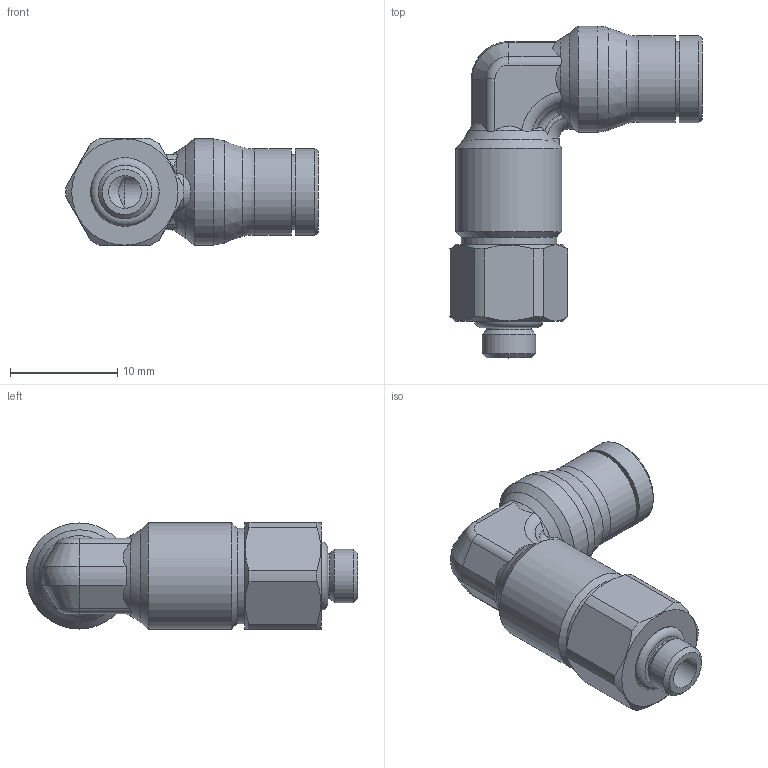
import cadquery as cq
import math


stem_length = 25.97
body_radius = 4.94
body_end = 14.22
body_chamfer = 0.5
waist_radius = 4.45
hex_start = 15.42
hex_end = 22.55
hex_flats = 10.0
hex_corner_radius = 5.5
hex_face_radius = 4.95
hex_chamfer = 0.4
flange_radius = 3.2
flange_end = 23.15
flange_rim_end = 22.6
flange_rounding = 0.7
thread_radius = 2.5
thread_chamfer = 0.4
relief_width = 0.2

throat_start = 4.05
throat_start_radius = 3.34
throat_middle = 4.45
throat_middle_radius = 3.54
throat_end = 4.83
throat_end_radius = 3.75
cone_start = 5.68
cone_start_radius = 4.3
cone_end = 6.44

socket_length = 18.0
bulge_end = 8.25
taper_inflection = 9.3
taper_straight_end = 11.0
taper_end = 12.1
sleeve_radius = 4.05
groove_start = 15.5
groove_width = 0.35
groove_depth = 0.55
socket_end_chamfer = 0.3
taper_start_radius = 4.75
taper_finish_radius = 4.15

elbow_half_height = 3.5
side_half_height = 0.9
outer_flat_offset = 1.3
inner_flat_offset = 1.12
slope_top_offset = 2.1
slope_top_height = 3.02
inner_bend_center = 5.5

slope_foot_offset = 2.5
slope_foot_height = 2.46
web_top_start = 3.25
web_top_end = 3.6
web_half_height = 1.7
web_edge = 4.69
web_end = 6.3
web_valley_radius = 1.1

bore_radius = 1.53
drill_half_angle = math.radians(59)


def along_stem(profile):
    """Revolve a (radius, distance) profile and point it along -Y."""
    return profile.close().revolve(360, (0, 0, 0), (0, 1, 0)).mirror("XZ")


def along_socket(profile):
    """Revolve a (radius, distance) profile and point it along +X."""
    upright = profile.close().revolve(360, (0, 0, 0), (0, 1, 0))
    return upright.rotate((0, 0, 0), (0, 0, 1), -90)


def collar_profile():
    """Start a half profile on the axis and carry it over the flare and cone to full radius."""
    return (
        cq.Workplane("XY")
        .moveTo(0, throat_start)
        .lineTo(throat_start_radius, throat_start)
        .threePointArc((throat_middle_radius, throat_middle), (throat_end_radius, throat_end))
        .lineTo(cone_start_radius, cone_start)
        .lineTo(body_radius, cone_end)
    )


def make_stem():
    """Collar, body and waist, carried a little way into the hexagon."""
    return along_stem(
        collar_profile()
        .lineTo(body_radius, body_end)
        .lineTo(waist_radius, body_end + body_chamfer)
        .lineTo(waist_radius, hex_start + hex_chamfer)
        .lineTo(0, hex_start + hex_chamfer)
    )


def make_hex_nut():
    """Hexagon with flats on +-Z, its corners trimmed by a chamfered cylinder."""
    length = hex_end - hex_start
    corner_to_corner = hex_flats / math.cos(math.pi / 6)
    hexagon = (
        cq.Workplane("XZ", origin=(0, -hex_start, 0))
        .polygon(6, corner_to_corner)
        .extrude(length)
    )
    trimmer = along_stem(
        cq.Workplane("XY")
        .moveTo(0, hex_start)
        .lineTo(hex_face_radius, hex_start)
        .lineTo(hex_corner_radius, hex_start + hex_chamfer)
        .lineTo(hex_corner_radius, hex_end - hex_chamfer)
        .lineTo(hex_face_radius, hex_end)
        .lineTo(0, hex_end)
    )
    return hexagon.intersect(trimmer)


def make_threaded_end():
    """Rounded flange, thread relief and plain thread cylinder, rooted in the hexagon."""
    relief_radius = thread_radius - thread_chamfer
    thread_start = flange_end + relief_width
    return along_stem(
        cq.Workplane("XY")
        .moveTo(0, hex_end - hex_chamfer)
        .lineTo(flange_radius, hex_end - hex_chamfer)
        .lineTo(flange_radius, flange_rim_end)
        .radiusArc((thread_radius, flange_end), -flange_rounding)
        .lineTo(relief_radius, flange_end)
        .lineTo(relief_radius, thread_start)
        .lineTo(thread_radius, thread_start + thread_chamfer)
        .lineTo(thread_radius, stem_length - thread_chamfer)
        .lineTo(relief_radius, stem_length)
        .lineTo(0, stem_length)
    )


def make_socket():
    """Collar, bulge, S-shaped taper and a sleeve with a narrow groove near its end."""
    groove_floor = sleeve_radius - groove_depth
    return along_socket(
        collar_profile()
        .lineTo(body_radius, bulge_end)
        .tangentArcPoint((taper_start_radius, taper_inflection), relative=False)
        .lineTo(taper_finish_radius, taper_straight_end)
        .tangentArcPoint((sleeve_radius, taper_end), relative=False)
        .lineTo(sleeve_radius, groove_start)
        .lineTo(groove_floor, groove_start)
        .lineTo(groove_floor, groove_start + groove_width)
        .lineTo(sleeve_radius, groove_start + groove_width)
        .lineTo(sleeve_radius, socket_length - socket_end_chamfer)
        .lineTo(sleeve_radius - socket_end_chamfer, socket_length)
        .lineTo(0, socket_length)
    )


def edge_radius(flat_offset):
    """Radius of the edge rounding that leaves the flat tangentially and ends at the slope."""
    run = slope_top_offset - flat_offset
    drop = elbow_half_height - slope_top_height
    return (run**2 + drop**2) / (2 * drop)


def outer_section(plane):
    """Outer half of the elbow section; local x points away from the inside corner."""
    edge_rounding = edge_radius(outer_flat_offset)
    side_edge_offset = math.sqrt(elbow_half_height**2 - side_half_height**2)
    return (
        plane.moveTo(0, elbow_half_height)
        .lineTo(outer_flat_offset, elbow_half_height)
        .radiusArc((slope_top_offset, slope_top_height), edge_rounding)
        .lineTo(side_edge_offset, side_half_height)
        .threePointArc((elbow_half_height, 0), (side_edge_offset, -side_half_height))
        .lineTo(slope_top_offset, -slope_top_height)
        .radiusArc((outer_flat_offset, -elbow_half_height), edge_rounding)
        .lineTo(0, -elbow_half_height)
        .close()
    )


def inner_section(plane, start):
    """Inner half of the elbow section with the web; local x points to the inside corner."""
    edge_rounding = edge_radius(inner_flat_offset)
    return (
        plane.moveTo(start, elbow_half_height)
        .lineTo(inner_flat_offset, elbow_half_height)
        .radiusArc((slope_top_offset, slope_top_height), edge_rounding)
        .lineTo(slope_foot_offset, slope_foot_height)
        .radiusArc((web_top_start, web_half_height), -web_valley_radius)
        .lineTo(web_top_end, web_half_height)
        .threePointArc((web_edge, 0), (web_top_end, -web_half_height))
        .lineTo(web_top_start, -web_half_height)
        .radiusArc((slope_foot_offset, -slope_foot_height), -web_valley_radius)
        .lineTo(slope_top_offset, -slope_top_height)
        .radiusArc((inner_flat_offset, -elbow_half_height), edge_rounding)
        .lineTo(start, -elbow_half_height)
        .close()
    )


def swap_legs(shape):
    """Mirror about the diagonal plane, which exchanges the stem and socket sides."""
    return shape.mirror(cq.Vector(1, 1, 0), (0, 0, 0))


def make_elbow():
    """Bend with straight legs; it turns about the origin outside and about the corner inside."""
    outer_turn = outer_section(cq.Workplane("XZ")).revolve(90, (0, 0, 0), (0, 1, 0))
    outer_turn = outer_turn.rotate((0, 0, 0), (0, 0, 1), 90)
    outer_leg = outer_section(cq.Workplane("YZ")).extrude(inner_bend_center)

    reach = inner_bend_center * (1 - math.sqrt(2))
    leg_end_plane = cq.Workplane("XZ", origin=(0, -inner_bend_center, 0))
    inner_turn = (
        inner_section(leg_end_plane, reach)
        .revolve(90, (inner_bend_center, 1), (inner_bend_center, 0))
    )
    corner_block = (
        cq.Workplane("XY", origin=(inner_bend_center / 2, -inner_bend_center / 2, 0))
        .box(inner_bend_center, inner_bend_center, 2 * elbow_half_height)
    )
    inner_turn = inner_turn.intersect(corner_block)
    inner_leg = inner_section(leg_end_plane, 0).extrude(web_end - inner_bend_center)

    elbow = outer_turn.union(inner_turn)
    for leg in (outer_leg, swap_legs(inner_leg)):
        elbow = elbow.union(leg).union(swap_legs(leg))
    return elbow


def bore_profile(length):
    """Half profile of a bore whose drill point reaches just past the axis crossing."""
    tip_depth = bore_radius / math.tan(drill_half_angle)
    return (
        cq.Workplane("XY")
        .moveTo(0, -tip_depth)
        .lineTo(bore_radius, 0)
        .lineTo(bore_radius, length)
        .lineTo(0, length)
    )


result = make_elbow()
for piece in (make_stem(), make_hex_nut(), make_threaded_end(), make_socket()):
    result = result.union(piece)
result = result.cut(along_stem(bore_profile(stem_length)))
result = result.cut(along_socket(bore_profile(socket_length)))